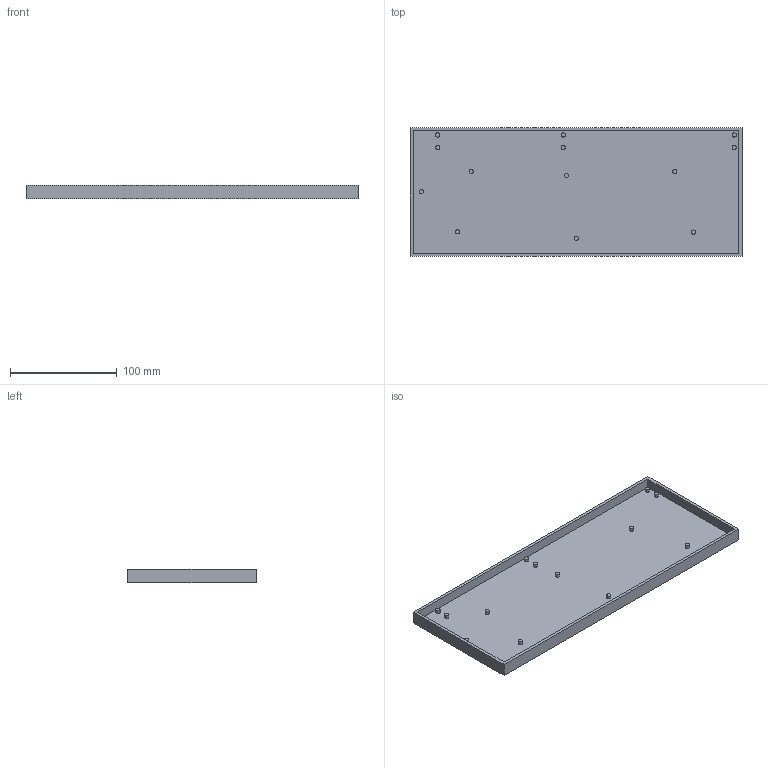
import cadquery as cq

length = 311.4
width = 120.46
height = 12.5
wall_thickness = 3.0
floor_thickness = 3.0

pin_diameter = 4.0
pin_height = 3.0

paired_columns = (-129.7, -12.0, 148.45)
paired_rows = (53.5, 41.7)

scattered_pins = [
    (-98.35, 19.4),
    (92.65, 19.25),
    (-9.0, 15.45),
    (-145.15, 0.25),
    (-111.05, -37.2),
    (110.15, -37.55),
    (0.15, -43.4),
]


def make_tray():
    """Open-topped rectangular tray with a flat floor."""
    block = cq.Workplane("XY").box(length, width, height, centered=(True, True, False))
    cavity = (
        cq.Workplane("XY")
        .workplane(offset=floor_thickness)
        .rect(length - 2 * wall_thickness, width - 2 * wall_thickness)
        .extrude(height - floor_thickness)
    )
    return block.cut(cavity)


def make_pins():
    """Cylindrical pins, rooted at the underside of the floor so they fuse with it."""
    paired_pins = [(x, y) for x in paired_columns for y in paired_rows]
    return (
        cq.Workplane("XY")
        .pushPoints(paired_pins + scattered_pins)
        .circle(pin_diameter / 2)
        .extrude(floor_thickness + pin_height)
    )


result = make_tray().union(make_pins())